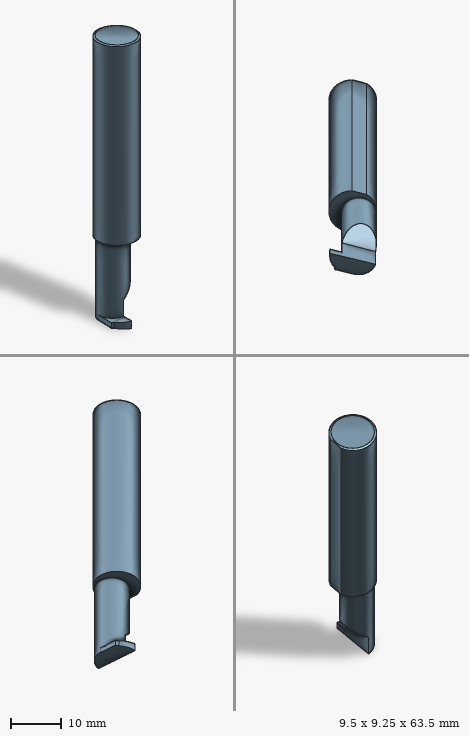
import cadquery as cq

total_length = 63.5
shank_radius = 4.75
shank_flat_y = 4.5
top_chamfer_height = 0.2
top_chamfer_width = 0.45

neck_length = 19.05
neck_radius = 3.5
neck_x = neck_radius - shank_radius

rake_height = 5.4

tooth_height = 1.7
tooth_corner_x = 2.65
corner_chamfer_x = 0.3
corner_chamfer_y = 0.6
flank_mid_x = 4.2
flank_mid_y = -1.6

top_slope_y = 0.05
inner_top_slope_x = -0.04

end_slope_x = -0.04
end_slope_y = -0.07

cut_size = 4 * shank_radius


def make_shank():
    shank = (
        cq.Workplane("XY").workplane(offset=neck_length)
        .circle(shank_radius).extrude(total_length - neck_length)
        .faces(">Z").chamfer(top_chamfer_height, top_chamfer_width)
    )
    flat_cutter = (
        cq.Workplane("XY")
        .box(cut_size, cut_size, total_length, centered=(True, False, False))
        .translate((0, shank_flat_y, 0))
    )
    return shank.cut(flat_cutter)


def make_neck():
    neck = cq.Workplane("XY").center(neck_x, 0).circle(neck_radius).extrude(neck_length)
    rake_cutter = (
        cq.Workplane("YZ")
        .polyline([
            (0, 0),
            (0, rake_height),
            (shank_radius, rake_height + shank_radius),
            (shank_radius, 0),
        ])
        .close().extrude(cut_size / 2, both=True)
    )
    return neck.cut(rake_cutter)


def make_slope_cutter(origin, slope_x, slope_y, depth):
    """Block bounded by a tilted plane; positive depth lies above it, negative below."""
    plane = cq.Plane(origin=origin, xDir=(1, 0, slope_x), normal=(-slope_x, -slope_y, 1))
    return cq.Workplane(plane).rect(2 * cut_size, 2 * cut_size).extrude(depth)


def make_tooth():
    blank = (
        cq.Workplane("XY")
        .moveTo(neck_x, 0)
        .lineTo(neck_x, -neck_radius)
        .lineTo(tooth_corner_x, -neck_radius)
        .lineTo(tooth_corner_x + corner_chamfer_x, corner_chamfer_y - neck_radius)
        .threePointArc((flank_mid_x, flank_mid_y), (shank_radius, 0))
        .close().extrude(2 * tooth_height)
    )
    outer_half_space = (
        cq.Workplane("XY")
        .box(cut_size, cut_size, cut_size, centered=(False, True, True))
        .translate((tooth_corner_x, 0, 0))
    )
    crease_start = (tooth_corner_x, 0, tooth_height)
    land_cutter = make_slope_cutter(crease_start, 0, top_slope_y, cut_size)
    inner_cutter = make_slope_cutter(crease_start, inner_top_slope_x, top_slope_y, cut_size)
    land = blank.intersect(outer_half_space).cut(land_cutter)
    inner = blank.cut(outer_half_space).cut(inner_cutter)
    return inner.union(land)


cutting_tip = (shank_radius, 0, 0)
end_cutter = make_slope_cutter(cutting_tip, end_slope_x, end_slope_y, -cut_size)

result = make_shank().union(make_neck()).union(make_tooth()).cut(end_cutter)